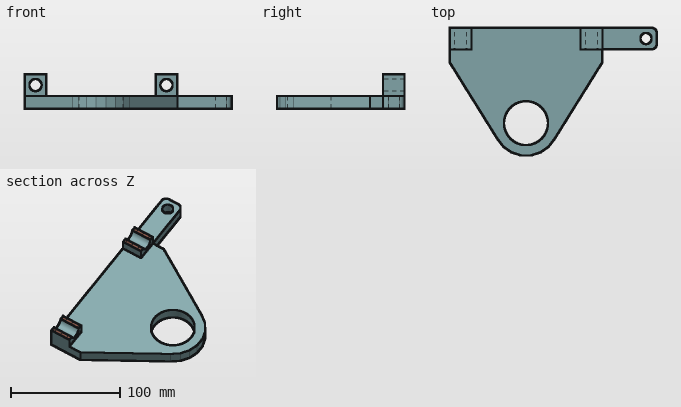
import cadquery as cq
import math

total_length = 190.0
total_depth = 117.2
plate_length = 140.0
plate_thickness = 12.0
block_size = 20.0
side_depth = 32.0
nose_radius = 30.0
nose_facets = 7
nose_sweep = 122.0
bore_diameter = 40.0
lug_hole_diameter = 10.0
block_hole_diameter = 11.0
arm_corner_radius = 5.0

nose_x = plate_length / 2
facet_angle = nose_sweep / nose_facets
nose_y = nose_radius * math.cos(math.radians(facet_angle / 2)) - total_depth
lug_hole_x = total_length - block_size / 2
block_mid_y = -block_size / 2
block_mid_z = plate_thickness + block_size / 2
block_starts = (0, plate_length - block_size)


def nose_points():
    """Corners of the faceted nose, from the right flank round to the left one."""
    points = []
    for index in range(nose_facets + 1):
        angle = math.radians(nose_sweep / 2 - index * facet_angle)
        x = nose_x + nose_radius * math.sin(angle)
        y = nose_y - nose_radius * math.cos(angle)
        points.append((x, y))
    return points


def make_plate():
    outline = [(0, 0), (plate_length, 0), (plate_length, -side_depth)]
    outline += nose_points()
    outline.append((0, -side_depth))
    return cq.Workplane("XY").polyline(outline).close().extrude(plate_thickness)


def make_arm():
    start_x = block_starts[1]
    return (
        cq.Workplane("XY")
        .box(total_length - start_x, block_size, plate_thickness, centered=False)
        .translate((start_x, -block_size, 0))
        .edges("|Z and >X")
        .fillet(arm_corner_radius)
    )


def make_block(start_x):
    """Cube on the rear edge with a hole through it along Y."""
    block = (
        cq.Workplane("XY")
        .box(block_size, block_size, block_size, centered=False)
        .translate((start_x, -block_size, plate_thickness))
    )
    hole = (
        cq.Workplane("XZ")
        .center(start_x + block_size / 2, block_mid_z)
        .circle(block_hole_diameter / 2)
        .extrude(block_size)
    )
    return block.cut(hole)


def vertical_hole(x, y, diameter):
    return cq.Workplane("XY").center(x, y).circle(diameter / 2).extrude(plate_thickness)


result = make_plate().union(make_arm())
for block_start in block_starts:
    result = result.union(make_block(block_start))
result = result.cut(vertical_hole(nose_x, nose_y, bore_diameter))
result = result.cut(vertical_hole(lug_hole_x, block_mid_y, lug_hole_diameter))